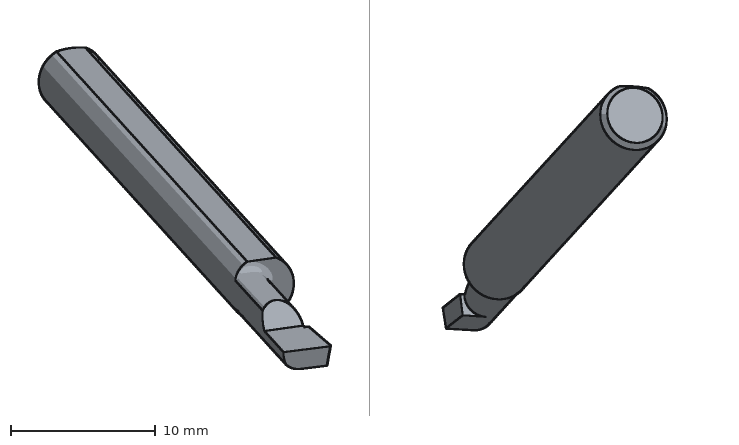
import cadquery as cq
import math

overall_length = 50.8
shank_diameter = 4.75
shank_length = 39.55
shank_flat_height = 2.125
back_chamfer = 0.4

neck_radius = 1.52
neck_axis_y = -1.04
neck_fillet = 0.65
neck_ramp_angle = 45

rake_face_start = 46.75
head_start = 47.0
head_back_y = 0.78
tip_y = 1.1
tip_corner = 0.1
end_lean = 0.12
clearance_angle = 7

shank_radius = shank_diameter / 2
tip_front_y = tip_y - tip_corner
head_depth = neck_radius
relief_setback = head_depth * math.tan(math.radians(clearance_angle))


def make_shank(length):
    """Round bar with a chamfered back end and a full-length flat on top."""
    bar = cq.Workplane("YZ").circle(shank_radius).extrude(length)
    bar = bar.faces("<X").chamfer(back_chamfer)
    flat_side_height = shank_radius + shank_flat_height
    below_flat = cq.Workplane("XY").box(
        length, shank_diameter, flat_side_height, centered=(False, True, False)
    )
    return bar.intersect(below_flat.translate((0, 0, -shank_radius)))


def make_neck_envelope():
    """Turned shape about the neck axis: clear of the shank, then filleted down to the neck."""
    clear_radius = shank_diameter
    fillet_bow = neck_fillet * (1 - math.sqrt(0.5))
    fillet_mid = (shank_length + fillet_bow, neck_radius + fillet_bow)
    profile = (
        cq.Workplane("XZ")
        .moveTo(0, 0)
        .lineTo(0, clear_radius)
        .lineTo(shank_length, clear_radius)
        .lineTo(shank_length, neck_radius + neck_fillet)
        .threePointArc(fillet_mid, (shank_length + neck_fillet, neck_radius))
        .lineTo(overall_length, neck_radius)
        .lineTo(overall_length, 0)
        .close()
    )
    envelope = profile.revolve(360, (0, 0, 0), (1, 0, 0))
    return envelope.translate((0, neck_axis_y, 0))


def make_rake_cut():
    """Space above the rake face, bounded at the back by the sloping ramp."""
    cut_height = shank_diameter
    ramp_run = cut_height / math.tan(math.radians(neck_ramp_angle))
    return (
        cq.Workplane("XZ")
        .moveTo(rake_face_start, 0)
        .lineTo(rake_face_start - ramp_run, cut_height)
        .lineTo(overall_length, cut_height)
        .lineTo(overall_length, 0)
        .close()
        .extrude(shank_diameter, both=True)
    )


def loft_down(top_outline, bottom_outline):
    """Straight-sided solid from an outline on the rake face to one at the head's depth."""
    return (
        cq.Workplane("XY")
        .polyline(top_outline)
        .close()
        .workplane(offset=-head_depth)
        .polyline(bottom_outline)
        .close()
        .loft(ruled=True)
    )


def make_end_relief():
    """Space beyond the end face, which leans across the head and falls back below the rake face."""
    clear_x = overall_length + shank_diameter
    top_outline = [
        (overall_length, shank_radius),
        (overall_length, tip_front_y),
        (overall_length - end_lean, -shank_radius),
        (clear_x, -shank_radius),
        (clear_x, shank_radius),
    ]
    bottom_outline = [(x - relief_setback, y) for x, y in top_outline]
    return loft_down(top_outline, bottom_outline)


def make_head():
    """Wedge carrying the cutting tip, its back side sloping inwards below the rake face."""

    def outline(setback):
        end_x = overall_length - setback
        return [
            (head_start, neck_axis_y),
            (head_start, head_back_y - setback),
            (end_x - tip_corner, tip_y - setback),
            (end_x, tip_front_y - setback),
            (end_x, neck_axis_y),
        ]

    return loft_down(outline(0), outline(relief_setback))


bar = make_shank(overall_length).intersect(make_neck_envelope())
result = bar.cut(make_rake_cut()).union(make_head()).cut(make_end_relief())